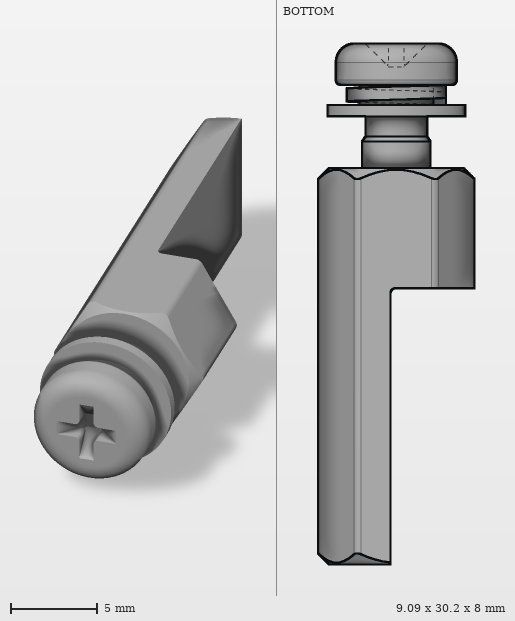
import cadquery as cq
import math

total_length = 30.2

across_flats = 8.0
post_start = 7.22
edge_radius = 0.48
end_face_diameter = 7.8
notch_length = 16.0
notch_face_x = -0.33
notch_fillet = 0.3

head_diameter = 7.05
head_height = 2.42
head_front_fillet = 1.12
head_back_fillet = 0.3
recess_span = 3.62
recess_width = 0.88
recess_depth = 1.35
recess_corner_radius = 0.27

washer_diameter = 8.0
washer_thickness = 0.65
washer_start = 3.55
spring_diameter = 5.77
spring_bore = 4.3
spring_thickness = 0.75
spring_overlap = 0.015
spring_embed = 0.15
spring_split_angle = 2.0
shank_diameter = 3.6
collar_diameter = 4.0
collar_length = 1.8
collar_chamfer_length = 0.27


def cylinder(diameter, start, end):
    """Solid cylinder on the Y axis between two Y positions."""
    circle = cq.Workplane("XZ", origin=(0, start, 0)).circle(diameter / 2)
    return circle.extrude(start - end)


def make_post():
    across_corners = across_flats / math.cos(math.pi / 6)
    length = total_length - post_start
    post = cq.Workplane("XZ", origin=(0, post_start, 0)).polygon(6, across_corners)
    post = post.extrude(-length).edges("|Y").fillet(edge_radius)

    chamfer = (across_corners - end_face_diameter) / 2
    envelope = cylinder(across_corners, post_start, total_length)
    post = post.intersect(envelope.faces("<Y or >Y").chamfer(chamfer))

    notch = cq.Workplane("XY").box(
        across_corners, notch_length, across_corners, centered=(False, False, True)
    )
    notch = notch.edges("<X and <Y").fillet(notch_fillet)
    return post.cut(notch.translate((notch_face_x, total_length - notch_length, 0)))


def make_recess():
    """Cross-shaped recess whose four arms slope inward to a square floor."""
    slot = cq.Workplane("XZ").rect(recess_span, recess_width).extrude(-recess_depth)
    cross = slot.union(slot.rotate((0, 0, 0), (0, 1, 0), 90))
    inner_corners = cq.selectors.BoxSelector(
        (-recess_width, 0, -recess_width), (recess_width, recess_depth, recess_width)
    )
    cross = cross.edges("|Y").edges(inner_corners).fillet(recess_corner_radius)

    pyramid = (
        cq.Workplane("XZ")
        .rect(recess_span, recess_span)
        .workplane(offset=-recess_depth)
        .rect(recess_width, recess_width)
        .loft(ruled=True)
    )
    return cross.intersect(pyramid)


def make_head():
    head = cylinder(head_diameter, 0, head_height)
    head = head.faces("<Y").edges().fillet(head_front_fillet)
    head = head.faces(">Y").edges().fillet(head_back_fillet)
    return head.cut(make_recess())


def make_spring_washer():
    """One helical turn, split on the +X side, around a solid core."""
    gap = washer_start - head_height
    rise = gap - spring_thickness + 2 * spring_overlap
    inner_radius = spring_bore / 2 - spring_embed
    outer_radius = spring_diameter / 2
    turn = 1 - spring_split_angle / 360
    path = cq.Wire.makeHelix(rise / turn, rise, outer_radius)
    coil = (
        cq.Workplane("XZ")
        .moveTo(inner_radius, 0)
        .lineTo(outer_radius, 0)
        .lineTo(outer_radius, spring_thickness)
        .lineTo(inner_radius, spring_thickness)
        .close()
        .sweep(cq.Workplane(obj=path), isFrenet=True)
    )
    coil = coil.rotate((0, 0, 0), (0, 0, 1), spring_split_angle / 2)
    coil = coil.rotate((0, 0, 0), (1, 0, 0), -90)
    coil = coil.translate((0, head_height - spring_overlap, 0))
    return cylinder(spring_bore, head_height, washer_start).union(coil)


def make_shank():
    shank = cylinder(shank_diameter, head_height, post_start)
    collar = cylinder(collar_diameter, post_start - collar_length, post_start)
    step = (collar_diameter - shank_diameter) / 2
    collar = collar.faces("<Y").chamfer(collar_chamfer_length, step)
    return shank.union(collar)


plain_washer = cylinder(washer_diameter, washer_start, washer_start + washer_thickness)

result = (
    make_post()
    .union(make_shank())
    .union(plain_washer)
    .union(make_spring_washer())
    .union(make_head())
)